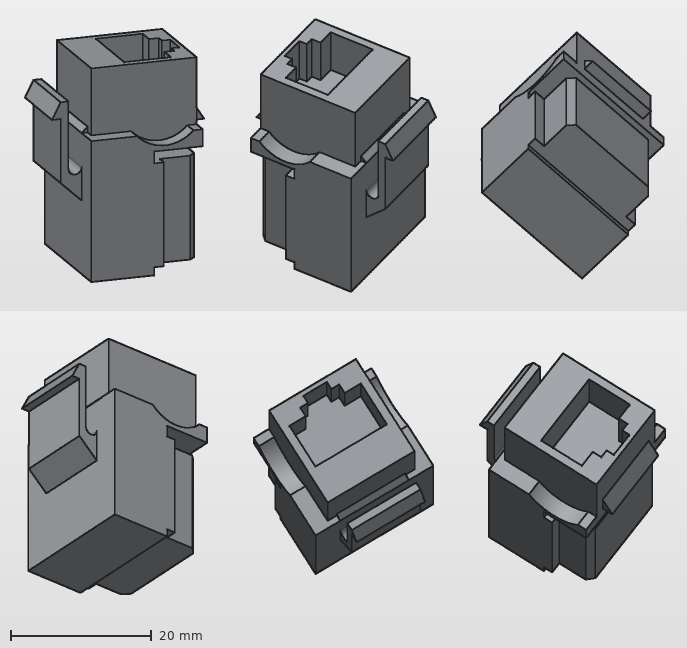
import cadquery as cq

body_width = 19.7
body_depth = 16.85
total_height = 31
shoulder_height = 21.02
head_width = 14.5
head_setback = 0.93

relief_front = 9.55
flange_bottom = 18.48
block_bottom = 1.2
block_top = 16.7
block_step_y = 10.97
block_step_inset = 1.77
block_rear = 16.55
block_chamfer = 1.0

scoop_front = 6.95
scoop_rear = 15.45
scoop_bottom = 19.22

socket_front = 6.35
socket_depth = 6.98
socket_steps = [(11.95, 13.42), (6.5, 14.9), (3.9, 16.15)]

clip_width = 11.47
catch_reach = 1.67
catch_bottom = 21.2
catch_top = 23.87
ramp_rise = 0.85
latch_gap = 1.98
latch_thickness = 1.18
barb_reach = 1.3
latch_top = 25.95
barb_bottom = 23.45
latch_root_bottom = 10.97
latch_knee = 13.9
gap_arc_height = 15.93


def block(width, y_front, y_rear, z_bottom, z_top):
    """Box centred on X between the given Y and Z limits."""
    size = (width, y_rear - y_front, z_top - z_bottom)
    return cq.Workplane("XY").box(*size, centered=(True, False, False)).translate((0, y_front, z_bottom))


def extrude_across(profile, width):
    """Extrude a closed YZ profile symmetrically along X."""
    return profile.close().extrude(width / 2, both=True)


def make_body():
    base = block(body_width, 0, relief_front, 0, shoulder_height)
    flange = block(body_width, 0, body_depth, flange_bottom, shoulder_height)
    head = block(head_width, head_setback, body_depth, shoulder_height, total_height)
    return base.union(flange).union(head)


def make_rear_block():
    wide = block(body_width, 0, block_step_y, block_bottom, block_top)
    narrow_width = body_width - 2 * block_step_inset
    narrow = block(narrow_width, 0, block_rear, block_bottom, block_top)
    return wide.union(narrow.edges("|Z and >Y").chamfer(block_chamfer))


def make_scoops():
    middle = (scoop_front + scoop_rear) / 2
    profile = (
        cq.Workplane("YZ")
        .moveTo(scoop_front, shoulder_height)
        .threePointArc((middle, scoop_bottom), (scoop_rear, shoulder_height))
    )
    between = block(head_width, 0, body_depth, 0, total_height)
    return extrude_across(profile, body_width).cut(between)


def make_socket():
    floor = total_height - socket_depth
    socket = cq.Workplane("XY")
    for width, rear in socket_steps:
        socket = socket.add(block(width, socket_front, rear, floor, total_height))
    return socket.combine()


def make_catch():
    profile = cq.Workplane("YZ").polyline([
        (body_depth, catch_bottom),
        (body_depth + catch_reach, catch_bottom),
        (body_depth, catch_top),
    ])
    return extrude_across(profile, clip_width)


def make_ramp():
    profile = cq.Workplane("YZ").polyline([
        (0, shoulder_height),
        (head_setback, shoulder_height),
        (head_setback, shoulder_height + ramp_rise),
    ])
    return extrude_across(profile, clip_width)


def make_latch():
    inner = -latch_gap
    outer = inner - latch_thickness
    radius = latch_gap / 2
    profile = (
        cq.Workplane("YZ")
        .moveTo(0, latch_root_bottom)
        .lineTo(outer, latch_knee)
        .lineTo(outer, barb_bottom)
        .lineTo(outer - barb_reach, barb_bottom)
        .lineTo(outer, latch_top)
        .lineTo(inner, latch_top)
        .lineTo(inner, gap_arc_height)
        .threePointArc((-radius, gap_arc_height - radius), (0, gap_arc_height))
    )
    return extrude_across(profile, clip_width)


result = make_body().union(make_rear_block())
for feature in (make_catch(), make_ramp(), make_latch()):
    result = result.union(feature)
result = result.cut(make_scoops()).cut(make_socket())